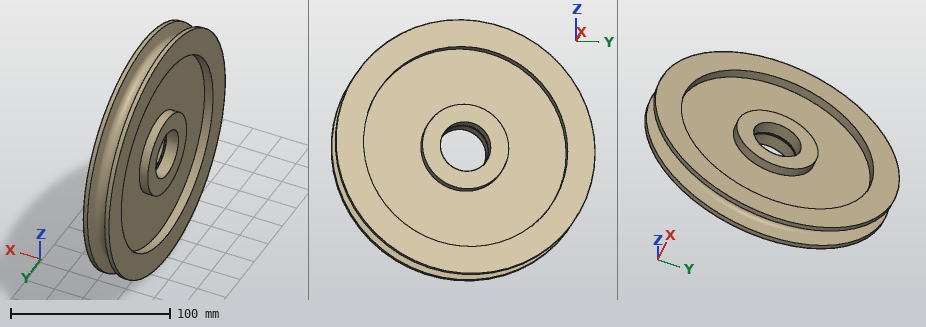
import cadquery as cq
import math

width = 18.0
outer_diameter = 165.0
recess_diameter = 130.0
hub_diameter = 55.0
bore_diameter = 32.0
recess_depth = 6.0

rope_groove_depth = 12.4
rope_groove_radius = 5.0
rope_groove_mouth = 12.0

ring_groove_diameter = 33.7
ring_groove_width = 1.2


def disc(diameter, length, start_x):
    """Solid cylinder on the X axis that begins at start_x."""
    return cq.Workplane("YZ", origin=(start_x, 0, 0)).circle(diameter / 2).extrude(length)


def rope_groove():
    """Ring cut from the rim, with flanks tangent to the round bottom."""
    rim_radius = outer_diameter / 2
    bottom_radius = rim_radius - rope_groove_depth
    arc_center_radius = bottom_radius + rope_groove_radius
    half_mouth = rope_groove_mouth / 2

    corner_height = rim_radius - arc_center_radius
    corner_distance = math.hypot(half_mouth, corner_height)
    corner_angle = math.atan2(corner_height, half_mouth)
    tangent_angle = corner_angle - math.acos(rope_groove_radius / corner_distance)
    tangent_x = rope_groove_radius * math.cos(tangent_angle)
    tangent_radius = arc_center_radius + rope_groove_radius * math.sin(tangent_angle)

    profile = (
        cq.Workplane("XY")
        .moveTo(-half_mouth, rim_radius)
        .lineTo(-tangent_x, tangent_radius)
        .threePointArc((0, bottom_radius), (tangent_x, tangent_radius))
        .lineTo(half_mouth, rim_radius)
        .close()
    )
    return profile.revolve(360, (0, 0, 0), (1, 0, 0))


def side_recess(start_x):
    """Ring-shaped pocket between the rim and the hub."""
    return disc(recess_diameter, recess_depth, start_x).cut(disc(hub_diameter, recess_depth, start_x))


wheel = disc(outer_diameter, width, -width / 2).cut(rope_groove())

for recess_start in (-width / 2, width / 2 - recess_depth):
    wheel = wheel.cut(side_recess(recess_start))

wheel = wheel.cut(disc(bore_diameter, width, -width / 2))
result = wheel.cut(disc(ring_groove_diameter, ring_groove_width, -ring_groove_width / 2))